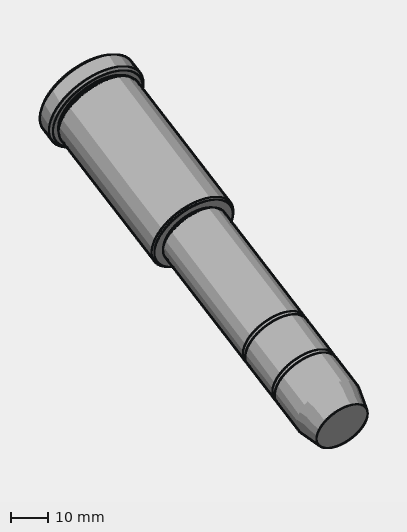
import cadquery as cq

total_length = 131.0
head_diameter = 30.0
head_length = 6.0
head_front_chamfer = 0.5
head_rear_chamfer = 0.8
collar_diameter = 26.0
collar_end = 55.0
collar_chamfer = 0.5
collar_undercut_width = 0.9
pin_undercut_width = 0.5
undercut_depth = 0.4
pin_diameter = 20.0
tip_diameter = 16.2
tip_length = 7.1
groove_centers = (97.0, 112.0)
groove_width = 1.2
groove_depth = 0.4


def cylinder(start, end, diameter):
    """Solid cylinder along X between two positions."""
    return cq.Workplane("YZ", origin=(start, 0, 0)).circle(diameter / 2).extrude(end - start)


def make_head():
    head = cylinder(0, head_length, head_diameter)
    head = head.faces("<X").chamfer(head_front_chamfer)
    return head.faces(">X").chamfer(head_rear_chamfer)


def make_collar():
    """Collar with a shallow undercut against the head and a chamfered end."""
    undercut_end = head_length + collar_undercut_width
    undercut = cylinder(0, undercut_end, collar_diameter - 2 * undercut_depth)
    collar = cylinder(undercut_end, collar_end, collar_diameter)
    return undercut.union(collar.faces(">X").chamfer(collar_chamfer))


def make_pin():
    """Pin with a shallow undercut against the collar and a free end that tapers to the tip."""
    pin_radius = pin_diameter / 2
    undercut_radius = pin_radius - undercut_depth
    undercut_end = collar_end + pin_undercut_width
    taper_start = total_length - tip_length
    profile = (
        cq.Workplane("XY")
        .moveTo(0, 0)
        .lineTo(0, undercut_radius)
        .lineTo(undercut_end, undercut_radius)
        .lineTo(undercut_end, pin_radius)
        .lineTo(taper_start, pin_radius)
        .lineTo(total_length, tip_diameter / 2)
        .lineTo(total_length, 0)
        .close()
    )
    return profile.revolve(360, (0, 0, 0), (1, 0, 0))


def make_groove_cutter(center):
    """Ring with a rounded inner side that cuts one shallow groove."""
    pin_radius = pin_diameter / 2
    profile = (
        cq.Workplane("XY")
        .moveTo(center - groove_width / 2, pin_radius)
        .threePointArc((center, pin_radius - groove_depth), (center + groove_width / 2, pin_radius))
        .close()
    )
    return profile.revolve(360, (0, 0, 0), (1, 0, 0))


result = make_head().union(make_collar()).union(make_pin())
for groove_center in groove_centers:
    result = result.cut(make_groove_cutter(groove_center))